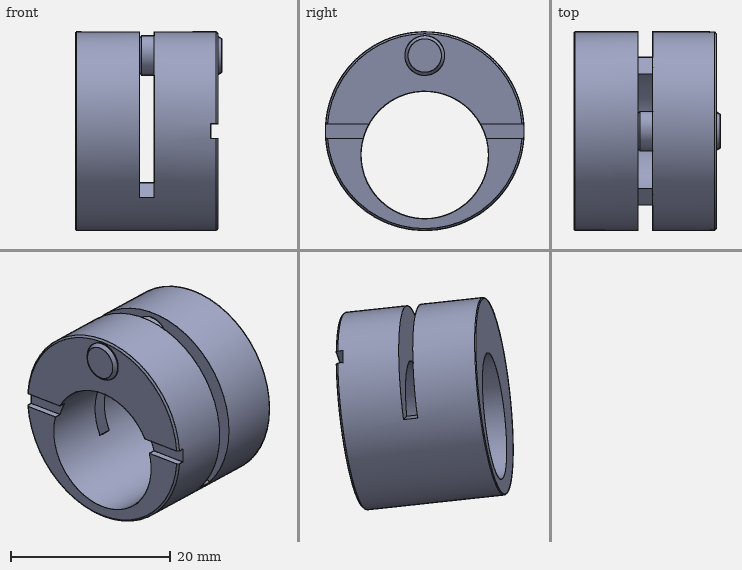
import cadquery as cq
import math

COLLAR_DIAMETER = 25.0
COLLAR_LENGTH = 17.9
LEFT_CHAMFER = 0.12
RIGHT_CHAMFER = 0.25

BORE_DIAMETER = 16.0
BORE_OFFSET = 3.0

SLOT_WIDTH = 1.8
SLOT_START = 8.05
SLOT_END_ANGLE = 42.0

GROOVE_WIDTH = 1.8
GROOVE_DEPTH = 0.9

SCREW_DIAMETER = 5.0
SCREW_HEIGHT = 9.5
SCREW_END = 18.38
SCREW_LENGTH = SCREW_END - SLOT_START
SCREW_TIP_CHAMFER = 0.25
SCREW_HEAD_CHAMFER_LENGTH = 0.6
SCREW_HEAD_CHAMFER_DEPTH = 0.4


def cylinder_x(diameter, start, length, height):
    """Cylinder parallel to X, in the Y = 0 plane at the given height."""
    return (
        cq.Workplane("YZ", origin=(start, 0, height))
        .circle(diameter / 2)
        .extrude(length)
    )


def make_slot_cutter():
    """Sector about the collar axis, reaching beyond the collar surface."""
    reach = COLLAR_DIAMETER
    angle = math.radians(SLOT_END_ANGLE)
    end_y = reach * math.cos(angle)
    end_z = -reach * math.sin(angle)
    return (
        cq.Workplane("YZ", origin=(SLOT_START, 0, 0))
        .moveTo(0, 0)
        .lineTo(end_y, end_z)
        .threePointArc((0, reach), (-end_y, end_z))
        .close()
        .extrude(SLOT_WIDTH)
    )


def make_groove_cutter():
    """Bar along Y that cuts the groove across the right face."""
    return cq.Workplane("XY").box(2 * GROOVE_DEPTH, COLLAR_DIAMETER, GROOVE_WIDTH).translate(
        (COLLAR_LENGTH, 0, 0)
    )


def make_collar():
    blank = cylinder_x(COLLAR_DIAMETER, 0, COLLAR_LENGTH, 0)
    blank = blank.faces("<X").chamfer(LEFT_CHAMFER)
    blank = blank.faces(">X").chamfer(RIGHT_CHAMFER)
    bore = cylinder_x(BORE_DIAMETER, 0, COLLAR_LENGTH, -BORE_OFFSET)
    screw_hole = cylinder_x(SCREW_DIAMETER, SLOT_START, SCREW_LENGTH, SCREW_HEIGHT)
    return blank.cut(bore).cut(make_slot_cutter()).cut(make_groove_cutter()).cut(screw_hole).solids()


def make_screw():
    """Revolved half profile; the chamfered head stands proud of the collar."""
    radius = SCREW_DIAMETER / 2
    half_profile = [
        (0, 0),
        (0, radius - SCREW_TIP_CHAMFER),
        (SCREW_TIP_CHAMFER, radius),
        (SCREW_LENGTH - SCREW_HEAD_CHAMFER_LENGTH, radius),
        (SCREW_LENGTH, radius - SCREW_HEAD_CHAMFER_DEPTH),
        (SCREW_LENGTH, 0),
    ]
    return (
        cq.Workplane("XZ", origin=(SLOT_START, 0, SCREW_HEIGHT))
        .polyline(half_profile)
        .close()
        .revolve(360, (0, 0), (1, 0))
    )


collar = make_collar()
screw = make_screw()
result = cq.Compound.makeCompound([collar.val(), screw.val()])